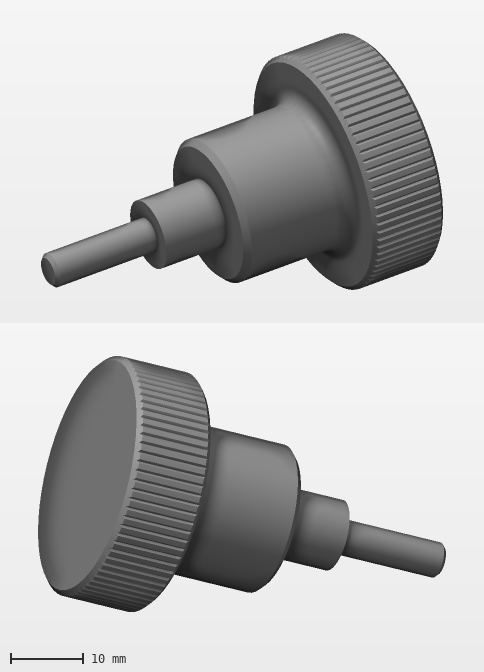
import cadquery as cq
import math

HUB_FACE_Y = 0.0
KNOB_LENGTH = 28.0
HEAD_LENGTH = 11.25
COLLAR_LENGTH = 9.5
TOTAL_LENGTH = 53.5

HEAD_BACK_Y = HUB_FACE_Y + KNOB_LENGTH
HEAD_FRONT_Y = HEAD_BACK_Y - HEAD_LENGTH
COLLAR_FACE_Y = HUB_FACE_Y - COLLAR_LENGTH
TIP_Y = HEAD_BACK_Y - TOTAL_LENGTH

HEAD_DIAMETER = 34.0
HEAD_RADIUS = HEAD_DIAMETER / 2
HEAD_CHAMFER = 0.7
HUB_DIAMETER = 21.0
HUB_RADIUS = HUB_DIAMETER / 2
HUB_CHAMFER = 0.85
NECK_FILLET = 2.05

GROOVE_COUNT = 80
GROOVE_DEPTH = 0.28
GROOVE_CLEARANCE = 0.15

COLLAR_DIAMETER = 10.0
COLLAR_RADIUS = COLLAR_DIAMETER / 2
PIN_DIAMETER = COLLAR_DIAMETER / 2
PIN_RADIUS = PIN_DIAMETER / 2
PIN_CHAMFER = 0.55


def revolve_about_y(profile):
    """Turn a closed (radius, Y) profile fully around the Y axis."""
    return profile.close().revolve(360, (0, 0, 0), (0, 1, 0))


def make_knob_blank():
    """Turned knob: chamfered head, filleted neck and chamfered hub."""
    arc_offset = NECK_FILLET * (1 - math.sqrt(0.5))
    profile = (
        cq.Workplane("XY")
        .moveTo(0, HUB_FACE_Y)
        .lineTo(HUB_RADIUS - HUB_CHAMFER, HUB_FACE_Y)
        .lineTo(HUB_RADIUS, HUB_FACE_Y + HUB_CHAMFER)
        .lineTo(HUB_RADIUS, HEAD_FRONT_Y - NECK_FILLET)
        .threePointArc(
            (HUB_RADIUS + arc_offset, HEAD_FRONT_Y - arc_offset),
            (HUB_RADIUS + NECK_FILLET, HEAD_FRONT_Y),
        )
        .lineTo(HEAD_RADIUS - HEAD_CHAMFER, HEAD_FRONT_Y)
        .lineTo(HEAD_RADIUS, HEAD_FRONT_Y + HEAD_CHAMFER)
        .lineTo(HEAD_RADIUS, HEAD_BACK_Y - HEAD_CHAMFER)
        .lineTo(HEAD_RADIUS - HEAD_CHAMFER, HEAD_BACK_Y)
        .lineTo(0, HEAD_BACK_Y)
    )
    return revolve_about_y(profile)


def make_groove_cutters():
    """Triangular prisms along the head, one for each knurl groove."""
    root_radius = HEAD_RADIUS - GROOVE_DEPTH
    mouth_radius = HEAD_RADIUS + GROOVE_CLEARANCE
    mouth_half_width = mouth_radius - root_radius
    cutter = (
        cq.Workplane("XZ", origin=(0, HEAD_BACK_Y, 0))
        .moveTo(root_radius, 0)
        .lineTo(mouth_radius, mouth_half_width)
        .lineTo(mouth_radius, -mouth_half_width)
        .close()
        .extrude(HEAD_LENGTH)
    )
    pitch_angle = 360 / GROOVE_COUNT
    return [
        cutter.rotate((0, 0, 0), (0, 1, 0), index * pitch_angle).val()
        for index in range(GROOVE_COUNT)
    ]


def make_knob():
    """Knob with its rim knurled."""
    cutters = cq.Compound.makeCompound(make_groove_cutters())
    return make_knob_blank().cut(cq.Workplane(cutters)).solids()


def make_pin():
    """Shouldered pin: a wide collar seated on the hub face and a slim chamfered tip."""
    profile = (
        cq.Workplane("XY")
        .moveTo(0, HUB_FACE_Y)
        .lineTo(COLLAR_RADIUS, HUB_FACE_Y)
        .lineTo(COLLAR_RADIUS, COLLAR_FACE_Y)
        .lineTo(PIN_RADIUS, COLLAR_FACE_Y)
        .lineTo(PIN_RADIUS, TIP_Y + PIN_CHAMFER)
        .lineTo(PIN_RADIUS - PIN_CHAMFER, TIP_Y)
        .lineTo(0, TIP_Y)
    )
    return revolve_about_y(profile)


knob = make_knob()
pin = make_pin()

result = cq.Compound.makeCompound([knob.val(), pin.val()])